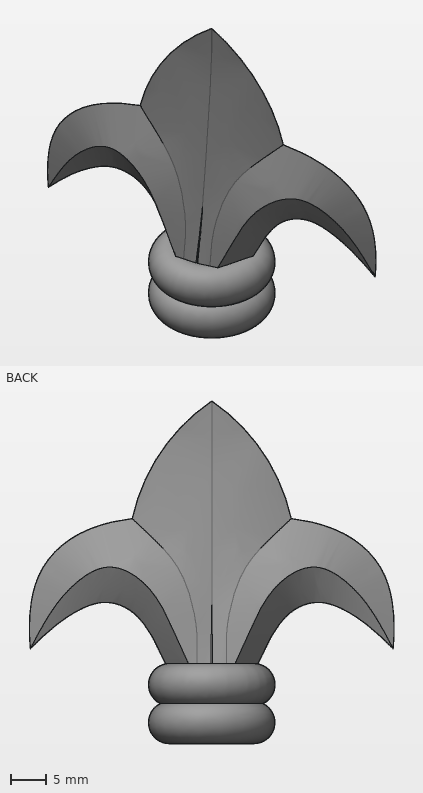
import cadquery as cq
import math

base_radius = 18.0 / 2
ring_tube_radius = 3.0
base_height = 11.4
seat_radius = 4.15

root_height = 10.65
root_depth = 5.05
root_seam_width = 2.15
root_rim_width = 2.9
root_belly_width = 6.25

apex = (0, 0, 48.75)
shoulder = (11.3, 0, 32.05)
barb = (25.8, 0, 13.5)

groove_width = 0.3
groove_top = 19.7
groove_top_depth = 2.9
groove_cut_depth = 0.5


def spline(*points):
    return cq.Edge.makeSpline([cq.Vector(*point) for point in points])


def arc(start, middle, end):
    return cq.Edge.makeThreePointArc(cq.Vector(*start), cq.Vector(*middle), cq.Vector(*end))


def line(start, end):
    return cq.Edge.makeLine(cq.Vector(*start), cq.Vector(*end))


def rim_depth(x):
    """Y of a side petal's lower rim, tapering evenly from the root to the barb."""
    return root_depth * (barb[0] - x) / (barb[0] - root_rim_width)


def flower_quarter():
    """Faces of the flower where X and Y are both positive."""
    root_center = (0, 0, root_height)
    ridge_root = (0, root_depth, root_height)
    seam_root = (root_seam_width, root_depth, root_height)
    rim_root = (root_rim_width, root_depth, root_height)
    belly_root = (root_belly_width, 0, root_height)

    ridge = spline(ridge_root, (0, 2.9, 20.65), (0, 1.35, 31.85), (0, 0.8, 36.35), (0, 0.3, 40.75), apex)
    outer_edge = arc(shoulder, (7.2, 0, 41.55), apex)
    seam = spline(
        seam_root, (2.2, 4.05, 16.45), (3.05, 3.25, 20.9), (5.2, 2.25, 25.65), (8.3, 1.1, 29.15), shoulder
    )

    crest = spline(shoulder, (16.15, 0, 31.0), (20.8, 0, 28.6), (24.35, 0, 24.45), (25.85, 0, 18.7), barb)
    rim_side_points = [(6.35, 18.0), (9.65, 22.85), (14.6, 25.1), (19.25, 22.9), (23.55, 17.6)]
    rim = spline(rim_root, *[(x, rim_depth(x), z) for x, z in rim_side_points], barb)
    belly = spline(
        belly_root, (9.5, 0, 16.8), (11.85, 0, 19.1), (15.05, 0, 20.1), (19.25, 0, 18.8), (23.35, 0, 15.85), barb
    )

    middle_face = cq.Face.makeNSidedSurface([ridge, outer_edge, seam, line(ridge_root, seam_root)], [])
    side_face = cq.Face.makeNSidedSurface([seam, crest, rim, line(seam_root, rim_root)], [])
    under_face = cq.Face.makeRuledSurface(rim, belly)
    root_loop = cq.Wire.assembleEdges([
        line(root_center, ridge_root),
        line(ridge_root, seam_root),
        line(seam_root, rim_root),
        line(rim_root, belly_root),
        line(belly_root, root_center),
    ])
    return [middle_face, side_face, under_face, cq.Face.makeFromWires(root_loop)]


def make_flower():
    """Mirror the quarter across both center planes and close it into a solid."""
    quarter = flower_quarter()
    half = quarter + [face.mirror("XZ") for face in quarter]
    faces = half + [face.mirror("YZ") for face in half]
    return cq.Workplane(cq.Solid.makeSolid(cq.Shell.makeShell(faces)))


def make_groove():
    """Wedge that follows the foot of the +Y ridge and narrows to nothing at its top."""
    wedge = (
        cq.Workplane("XZ")
        .polyline([(-groove_width / 2, root_height), (groove_width / 2, root_height), (0, groove_top)])
        .close()
        .extrude(-base_radius)
    )
    along_ridge = (
        cq.Workplane("YZ")
        .moveTo(root_depth - groove_cut_depth, root_height)
        .lineTo(base_radius, root_height)
        .lineTo(base_radius, groove_top)
        .lineTo(groove_top_depth, groove_top)
        .close()
        .extrude(groove_width, both=True)
    )
    return wedge.intersect(along_ridge)


def make_base():
    """Revolve the two ring bulges; the top one rolls inward to the seat."""
    ring_center_radius = base_radius - ring_tube_radius
    upper_ring_height = base_height - ring_tube_radius
    waist_height = base_height / 2
    waist_radius = ring_center_radius + math.sqrt(
        ring_tube_radius**2 - (waist_height - ring_tube_radius) ** 2
    )
    seat_height = upper_ring_height + math.sqrt(
        ring_tube_radius**2 - (ring_center_radius - seat_radius) ** 2
    )
    return (
        cq.Workplane("XZ")
        .lineTo(ring_center_radius, 0)
        .threePointArc((base_radius, ring_tube_radius), (waist_radius, waist_height))
        .threePointArc((base_radius, upper_ring_height), (seat_radius, seat_height))
        .lineTo(0, seat_height)
        .close()
        .revolve(360, (0, 0, 0), (0, 1, 0))
    )


groove = make_groove()
flower = make_flower().cut(groove).cut(groove.mirror("XZ"))
result = make_base().union(flower)